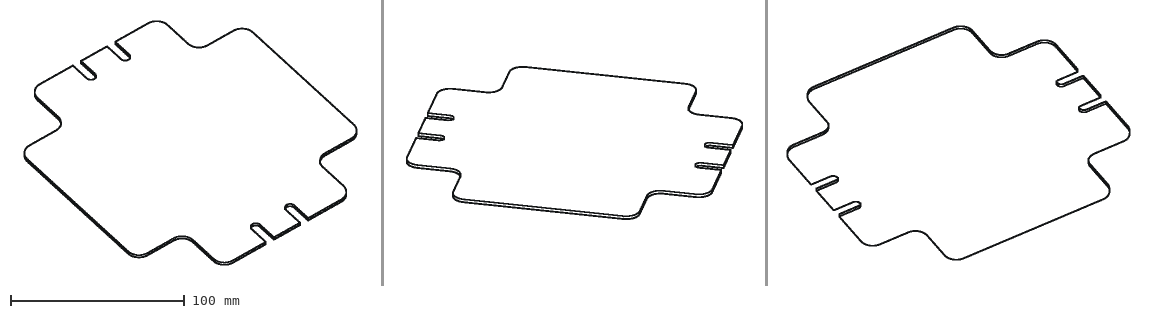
import cadquery as cq

length_x = 180.0
width_y = 165.0
thickness = 2.0

center_bar_x = 110.0
side_bar_y = 95.0
corner_radius = 8.0

slot_width = 6.0
slot_depth = 16.0
slot_spacing = 25.0


def cross_plate():
    """Cross-shaped plate with every outer and inner corner rounded."""
    side_bar = cq.Workplane("XY").box(length_x, side_bar_y, thickness)
    center_bar = cq.Workplane("XY").box(center_bar_x, width_y, thickness)
    return side_bar.union(center_bar).edges("|Z").fillet(corner_radius)


def edge_slots():
    """Round-ended slots, centred on the X edges so that half of each lies in the plate."""
    slot_centers = [
        (side * length_x / 2, row * slot_spacing / 2)
        for side in (-1, 1)
        for row in (-1, 1)
    ]
    return (
        cq.Workplane("XY")
        .pushPoints(slot_centers)
        .slot2D(2 * slot_depth, slot_width)
        .extrude(thickness, both=True)
    )


result = cross_plate().cut(edge_slots())